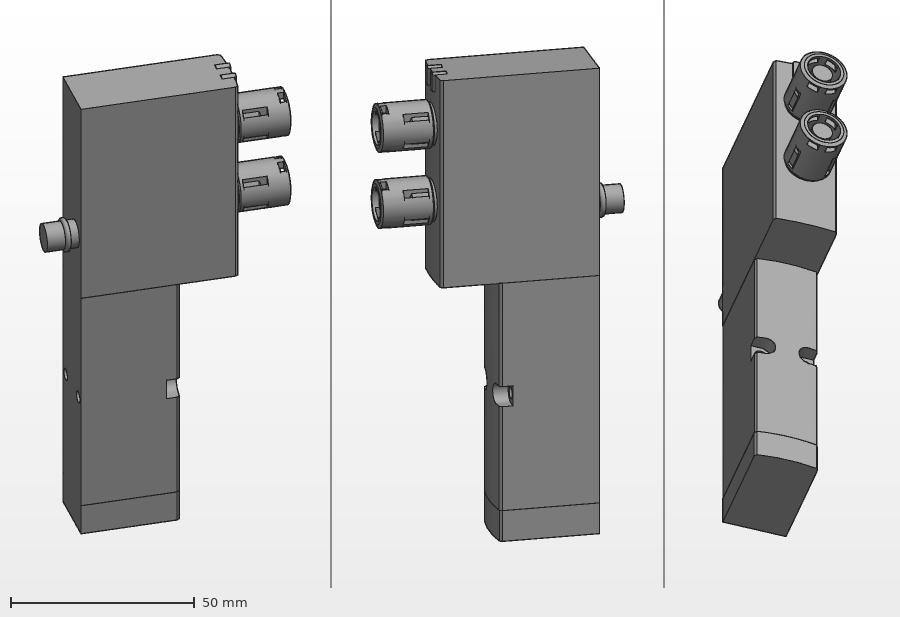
import cadquery as cq

HOUSING_WIDTH = 18.2
WAIST_STEP = 0.07
CAP_TOP_Z = 8.9
HEAD_BOTTOM_Z = 74.4
TOP_Z = 134.5
RIB_RISE = 0.4
HEAD_TOP_Z = TOP_Z - RIB_RISE

HEAD_DEPTH = 44.9
LOWER_DEPTH = 28.6
HEAD_CROWN = 0.4
LOWER_CROWN = 0.7
BEVEL_X = 0.5
BEVEL_Y = 0.8

RIB_WIDTH = 2.2
RIB_SPACING = 5.6
RIB_HEIGHT = 5.2
RIB_FRONT_Y = 41.4
RIB_REAR_Y = 45.5

SCREW_SPACING = 12.5
SCREW_Z = 41.7
SCREW_DIAMETER = 3.4
SEAT_DIAMETER = 5.8
SEAT_FLOOR_Y = 24.2

PLUG_X = 3.4
PLUG_Z = 91.7
PLUG_DIAMETER = 8.0
PLUG_LENGTH = 9.0
BEAD_RADIUS = 0.8
BEAD_OFFSET = 3.1

FITTING_HEIGHTS = (96.8, 118.7)
FITTING_END_Y = 60.4
NECK_START_Y = 44.4
SLEEVE_START_Y = 45.6
SLEEVE_DIAMETER = 13.5
SLEEVE_CHAMFER = 0.4
END_FACE_DIAMETER = 11.3
NECK_DIAMETER = 12.0
CORE_END_Y = 52.0
CORE_CHAMFER = 0.5
MOUTH_DIAMETER = 9.4
NOZZLE_DIAMETER = 5.8
NOZZLE_END_Y = 58.9

SLOT_X = (4.6, 5.9)
SLOT_Y = (47.0, 53.9)
WINDOW_X = (1.1, 4.0)
WINDOW_Y = (57.8, 59.6)


def y_cylinder(diameter, start_y, end_y, x, z):
    """Cylinder along Y between two Y positions."""
    start = cq.Workplane("XZ", origin=(x, start_y, z))
    return start.circle(diameter / 2).extrude(start_y - end_y)


def x_y_z_box(x_range, y_range, z_range):
    """Box between two limits on every axis."""
    sizes = [limits[1] - limits[0] for limits in (x_range, y_range, z_range)]
    corner = (x_range[0], y_range[0], z_range[0])
    return cq.Workplane("XY").box(*sizes, centered=False).translate(corner)


def housing_section(width, depth, crown, bottom_z, top_z):
    """Upright block with a crowned rear face and bevelled rear corners."""
    half_width = width / 2
    crown_half_width = half_width - BEVEL_X
    crown_edge_y = depth - crown
    return (
        cq.Workplane("XY", origin=(0, 0, bottom_z))
        .moveTo(-half_width, 0)
        .lineTo(half_width, 0)
        .lineTo(half_width, crown_edge_y - BEVEL_Y)
        .lineTo(crown_half_width, crown_edge_y)
        .threePointArc((0, depth), (-crown_half_width, crown_edge_y))
        .lineTo(-half_width, crown_edge_y - BEVEL_Y)
        .close()
        .extrude(top_z - bottom_z)
    )


def locating_rib(x):
    """Bar along Y with a domed top, standing proud of the head's top and rear."""
    bottom_z = TOP_Z - RIB_HEIGHT
    return (
        cq.Workplane("XZ", origin=(x, RIB_FRONT_Y, 0))
        .moveTo(-RIB_WIDTH / 2, bottom_z)
        .lineTo(RIB_WIDTH / 2, bottom_z)
        .lineTo(RIB_WIDTH / 2, HEAD_TOP_Z)
        .threePointArc((0, TOP_Z), (-RIB_WIDTH / 2, HEAD_TOP_Z))
        .close()
        .extrude(RIB_FRONT_Y - RIB_REAR_Y)
    )


def screw_cut(side):
    """Screw hole and U-shaped seat on one side; side is -1 or 1."""
    hole_x = side * SCREW_SPACING / 2
    flank_x = side * HOUSING_WIDTH / 2
    hole = y_cylinder(SCREW_DIAMETER, 0, LOWER_DEPTH, hole_x, SCREW_Z)
    seat = y_cylinder(SEAT_DIAMETER, SEAT_FLOOR_Y, LOWER_DEPTH, hole_x, SCREW_Z)
    opening = x_y_z_box(
        sorted((hole_x, flank_x)),
        (SEAT_FLOOR_Y, LOWER_DEPTH),
        (SCREW_Z - SEAT_DIAMETER / 2, SCREW_Z + SEAT_DIAMETER / 2),
    )
    return hole.union(seat).union(opening)


def plug_stub():
    """Plug on the front face with a rounded bead around it."""
    stub = y_cylinder(PLUG_DIAMETER, 0, -PLUG_LENGTH, PLUG_X, PLUG_Z)
    stub_radius = PLUG_DIAMETER / 2
    bead = (
        cq.Workplane("XY")
        .moveTo(0, -BEAD_OFFSET - BEAD_RADIUS)
        .lineTo(stub_radius, -BEAD_OFFSET - BEAD_RADIUS)
        .threePointArc((stub_radius + BEAD_RADIUS, -BEAD_OFFSET), (stub_radius, -BEAD_OFFSET + BEAD_RADIUS))
        .lineTo(0, -BEAD_OFFSET + BEAD_RADIUS)
        .close()
        .revolve(360, (0, 0, 0), (0, 1, 0))
        .translate((PLUG_X, 0, PLUG_Z))
    )
    return stub.union(bead)


def make_housing():
    waist_width = HOUSING_WIDTH - 2 * WAIST_STEP
    cap = housing_section(HOUSING_WIDTH, LOWER_DEPTH, LOWER_CROWN, 0, CAP_TOP_Z)
    waist = housing_section(waist_width, LOWER_DEPTH, LOWER_CROWN, CAP_TOP_Z, HEAD_BOTTOM_Z)
    head = housing_section(HOUSING_WIDTH, HEAD_DEPTH, HEAD_CROWN, HEAD_BOTTOM_Z, HEAD_TOP_Z)
    body = cap.union(waist).union(head).union(plug_stub())
    for side in (-1, 1):
        body = body.union(locating_rib(side * RIB_SPACING / 2))
        body = body.cut(screw_cut(side))
    for height in FITTING_HEIGHTS:
        body = body.cut(y_cylinder(NECK_DIAMETER, NECK_START_Y, HEAD_DEPTH, 0, height))
    return body


def make_sleeve():
    """Hollow outer sleeve of a fitting about the Y axis, with slots and windows."""
    outer_radius = SLEEVE_DIAMETER / 2
    sleeve = (
        cq.Workplane("XY")
        .moveTo(NECK_DIAMETER / 2, SLEEVE_START_Y)
        .lineTo(outer_radius - SLEEVE_CHAMFER, SLEEVE_START_Y)
        .lineTo(outer_radius, SLEEVE_START_Y + SLEEVE_CHAMFER)
        .lineTo(outer_radius, FITTING_END_Y - SLEEVE_CHAMFER)
        .lineTo(END_FACE_DIAMETER / 2, FITTING_END_Y)
        .lineTo(MOUTH_DIAMETER / 2, FITTING_END_Y)
        .lineTo(MOUTH_DIAMETER / 2, CORE_END_Y)
        .lineTo(NECK_DIAMETER / 2 - CORE_CHAMFER, CORE_END_Y)
        .lineTo(NECK_DIAMETER / 2, CORE_END_Y - CORE_CHAMFER)
        .close()
        .revolve(360, (0, 0, 0), (0, 1, 0))
    )
    for x_range, y_range in ((SLOT_X, SLOT_Y), (WINDOW_X, WINDOW_Y)):
        opening = x_y_z_box(x_range, y_range, (-outer_radius, outer_radius))
        sleeve = sleeve.cut(opening).cut(opening.mirror("YZ"))
    return sleeve


def make_fitting(height):
    """Tube fitting: neck and core, inner nozzle and slotted sleeve."""
    core = y_cylinder(NECK_DIAMETER, NECK_START_Y, CORE_END_Y, 0, 0).faces(">Y").chamfer(CORE_CHAMFER)
    nozzle = y_cylinder(NOZZLE_DIAMETER, CORE_END_Y, NOZZLE_END_Y, 0, 0)
    fitting = core.union(nozzle).union(make_sleeve())
    return fitting.translate((0, 0, height))


housing = make_housing()
fittings = [make_fitting(height) for height in FITTING_HEIGHTS]
result = cq.Compound.makeCompound([housing.val(), *[fitting.val() for fitting in fittings]])